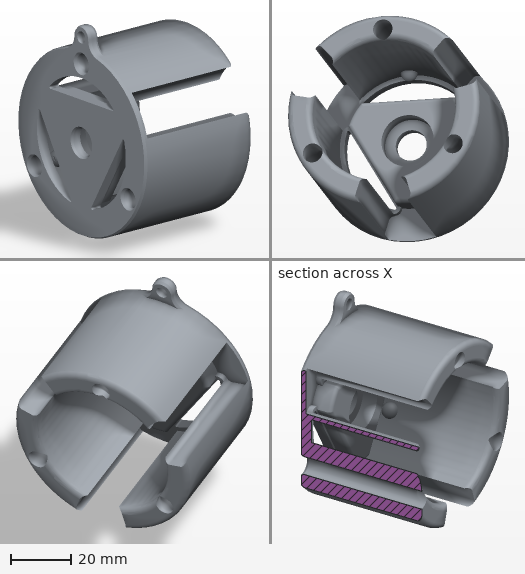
import cadquery as cq
import math

BODY_RADIUS = 32.5
BODY_LENGTH = 47.0
BORE_RADIUS = 24.2
PLATE_THICKNESS = 4.0
REAR_FILLET = 2.0

EDGE_DEPTH = 1.0
EDGE_INSET = 0.5

TAB_RADIUS = 4.0
TAB_HEIGHT = 36.66
TAB_HOLE_DIAMETER = 4.17

SCREW_CIRCLE_RADIUS = 27.5
SCREW_DIAMETER = 6.55
SCREW_CHAMFER = 0.6

HUB_FLAT_DISTANCE = 14.3
HUB_CORNER_RADIUS = 21.3
HUB_LENGTH = 9.5
HUB_FILLET = 1.4
CENTRE_HOLE_DIAMETER = 10.5
CENTRE_CHAMFER = 0.25
POCKET_DIAMETER = 17.7
POCKET_FLOOR = 4.0

WINDOW_RADIUS = 22.6
WINDOW_FLAT_DISTANCE = 15.0
WINDOW_CORNER_RADIUS = 0.5

CHANNEL_FLOOR = 2.0
CHANNEL_OUTER_RADIUS = 32.51
CHANNEL_HALF_ANGLE = 17.7
CHANNEL_CORNER_RADIUS = 2.0
NECK_HALF_WIDTH = 3.45
NECK_FILLET = 2.5

BUMP_RADIUS = 2.85
BUMP_POSITION = 7.0

SCREW_ANGLES = [90, 210, 330]
CHANNEL_ANGLES = [30, 150, 270]
CUT_MARGIN = 1.0


def polar(radius, angle):
    """Point (X, Z) at a radius and an angle in degrees from +X."""
    return radius * math.cos(math.radians(angle)), radius * math.sin(math.radians(angle))


def sketch_plane(y):
    """Plane facing the front at depth y, with local axes along +X and +Z."""
    return cq.Workplane(cq.Plane(origin=(0, y, 0), xDir=(1, 0, 0), normal=(0, -1, 0)))


def cylinder(radius, y_start, y_end, center=(0, 0)):
    """Cylinder along Y between two depths."""
    return sketch_plane(y_start).center(*center).circle(radius).extrude(y_start - y_end)


def rotated(shape, angle):
    """Turn a shape drawn around the +X direction to an angle toward +Z."""
    return shape.rotate((0, 0, 0), (0, -1, 0), angle)


def cup():
    """Plate and thick wall as one piece: bevelled front rim, rounded rear rims."""
    body = cylinder(BODY_RADIUS, 0, BODY_LENGTH)
    body = body.faces("<Y").chamfer(EDGE_DEPTH, EDGE_INSET)
    body = body.cut(cylinder(BORE_RADIUS, PLATE_THICKNESS, BODY_LENGTH + CUT_MARGIN))
    return body.faces(">Y").edges().fillet(REAR_FILLET)


def tab():
    """Rounded tab blended by arcs tangent to its sides and to the plate rim."""
    blend = (TAB_HEIGHT**2 + TAB_RADIUS**2 - BODY_RADIUS**2) / (2 * (BODY_RADIUS - TAB_RADIUS))
    blend_x = TAB_RADIUS + blend
    rim_angle = math.degrees(math.atan2(TAB_HEIGHT, blend_x))
    join_x, join_z = polar(BODY_RADIUS, rim_angle)
    root_x, root_z = polar(BODY_RADIUS - PLATE_THICKNESS, rim_angle)
    dx, dz = polar(blend, 180 + rim_angle / 2)
    mid_x = blend_x + dx
    mid_z = TAB_HEIGHT + dz
    body = (
        sketch_plane(0)
        .moveTo(root_x, root_z)
        .lineTo(join_x, join_z)
        .threePointArc((mid_x, mid_z), (TAB_RADIUS, TAB_HEIGHT))
        .threePointArc((0, TAB_HEIGHT + TAB_RADIUS), (-TAB_RADIUS, TAB_HEIGHT))
        .threePointArc((-mid_x, mid_z), (-join_x, join_z))
        .lineTo(-root_x, root_z)
        .close()
        .extrude(-PLATE_THICKNESS)
    )
    for face in ("<Y", ">Y"):
        body = body.faces(face).edges("%CIRCLE").chamfer(EDGE_DEPTH, EDGE_INSET)
    return body


def hub():
    """Triangular block whose corners are trimmed to a circle."""
    triangle_radius = 2 * HUB_FLAT_DISTANCE
    corners = [polar(triangle_radius, angle) for angle in CHANNEL_ANGLES]
    block = sketch_plane(EDGE_DEPTH).polyline(corners).close().extrude(EDGE_DEPTH - HUB_LENGTH)
    block = block.intersect(cylinder(HUB_CORNER_RADIUS, EDGE_DEPTH, HUB_LENGTH))
    return block.faces(">Y").edges().fillet(HUB_FILLET)


def channel():
    """Ring sector with rounded corners plus a flared neck toward the hub."""
    reach = 2 * BODY_RADIUS
    depth = CHANNEL_FLOOR - BODY_LENGTH - CUT_MARGIN
    plane = sketch_plane(CHANNEL_FLOOR)
    wedge = (
        plane.polyline([(0, 0), polar(reach, -CHANNEL_HALF_ANGLE), polar(reach, CHANNEL_HALF_ANGLE)])
        .close()
        .extrude(depth)
    )
    ring = plane.circle(CHANNEL_OUTER_RADIUS).circle(BORE_RADIUS).extrude(depth)
    sector = wedge.intersect(ring).edges("|Y").fillet(CHANNEL_CORNER_RADIUS)

    neck_center_z = NECK_HALF_WIDTH + NECK_FILLET
    neck_center_x = math.sqrt((BORE_RADIUS - NECK_FILLET) ** 2 - neck_center_z**2)
    flare = BORE_RADIUS / (BORE_RADIUS - NECK_FILLET)
    flare_x = neck_center_x * flare
    flare_z = neck_center_z * flare
    mid_angle = (math.degrees(math.atan2(neck_center_z, neck_center_x)) - 90) / 2
    dx, dz = polar(NECK_FILLET, mid_angle)
    mid_x = neck_center_x + dx
    mid_z = neck_center_z + dz
    neck = (
        plane.moveTo(neck_center_x, -NECK_HALF_WIDTH)
        .threePointArc((mid_x, -mid_z), (flare_x, -flare_z))
        .lineTo(BORE_RADIUS + CUT_MARGIN, 0)
        .lineTo(flare_x, flare_z)
        .threePointArc((mid_x, mid_z), (neck_center_x, NECK_HALF_WIDTH))
        .close()
        .extrude(depth)
    )
    return sector.union(neck)


def window():
    """Circle segment beside one hub flat, drawn on the +X side."""
    segment = cylinder(WINDOW_RADIUS, -CUT_MARGIN, PLATE_THICKNESS + CUT_MARGIN)
    keep = (
        sketch_plane(-CUT_MARGIN)
        .center(WINDOW_FLAT_DISTANCE + BODY_RADIUS, 0)
        .rect(2 * BODY_RADIUS, 2 * BODY_RADIUS)
        .extrude(-PLATE_THICKNESS - 2 * CUT_MARGIN)
    )
    return segment.intersect(keep).edges("|Y").fillet(WINDOW_CORNER_RADIUS)


def chamfered_hole(diameter, chamfer, chamfer_depth, center=(0, 0)):
    """Through hole along Y with a countersunk front rim."""
    radius = diameter / 2
    hole = cylinder(radius, -CUT_MARGIN, BODY_LENGTH + CUT_MARGIN, center)
    rim_center = cq.Vector(center[0], 0, center[1])
    rim = cq.Solid.makeCone(radius + chamfer, radius, chamfer_depth, rim_center, cq.Vector(0, 1, 0))
    return hole.union(cq.Workplane(rim))


def bump(angle):
    """Ball centred on the bore surface, so that half of it stands proud."""
    x, z = polar(BORE_RADIUS, angle)
    return cq.Workplane("XY").sphere(BUMP_RADIUS).translate((x, BUMP_POSITION, z))


result = cup().union(tab()).union(hub())
for angle in SCREW_ANGLES:
    result = result.union(bump(angle))
for angle in CHANNEL_ANGLES:
    result = result.cut(rotated(channel(), angle).cut(cylinder(HUB_CORNER_RADIUS, 0, BODY_LENGTH)))
for angle in SCREW_ANGLES:
    result = result.cut(rotated(window(), angle))
    screw_center = polar(SCREW_CIRCLE_RADIUS, angle)
    result = result.cut(chamfered_hole(SCREW_DIAMETER, SCREW_CHAMFER, EDGE_DEPTH, screw_center))
result = result.cut(chamfered_hole(CENTRE_HOLE_DIAMETER, CENTRE_CHAMFER, EDGE_DEPTH))
result = result.cut(cylinder(POCKET_DIAMETER / 2, POCKET_FLOOR, HUB_LENGTH + CUT_MARGIN))
tab_hole_end = PLATE_THICKNESS + CUT_MARGIN
result = result.cut(cylinder(TAB_HOLE_DIAMETER / 2, -CUT_MARGIN, tab_hole_end, (0, TAB_HEIGHT)))